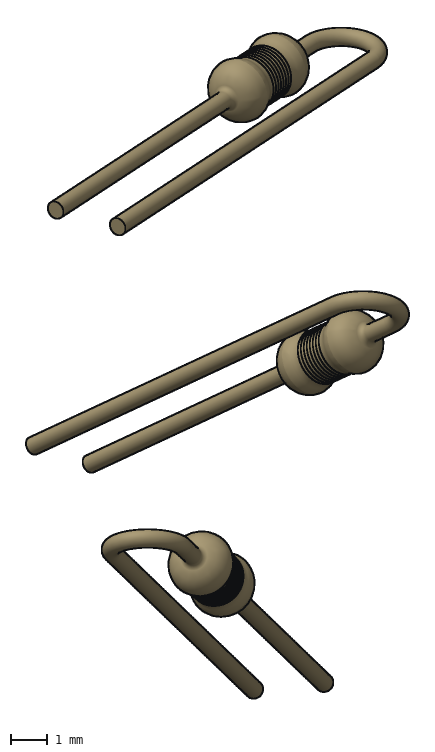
import cadquery as cq
import math

total_length = 14.05
wire_diameter = 0.5
wire_radius = wire_diameter / 2
lead_pitch = 2.0
bend_radius = lead_pitch / 2
bend_start = total_length - bend_radius - wire_radius

body_center = 10.2
barrel_radius = 1.53 / 2
band_radius = 1.55 / 2
bulb_radius = 1.8 / 2

flank_offset = 0.7
crest_offset = 0.95
neck_start = 1.59
neck_end = 1.75

flank_radius = 0.83
neck_radius = 0.4

band_count = 4
band_width = 0.13
band_pitch = 2 * band_width
barrel_half = (2 * band_count - 1) * band_width / 2


def tangent_arc_middle(start, end):
    """Return the middle of an arc that leaves start parallel to the Y axis and reaches end."""
    rise = end[0] - start[0]
    run = end[1] - start[1]
    radius = (run**2 + rise**2) / (2 * abs(rise))
    half_angle = math.asin(abs(run) / radius) / 2
    middle_rise = math.copysign(radius * (1 - math.cos(half_angle)), rise)
    middle_run = math.copysign(radius * math.sin(half_angle), run)
    return (start[0] + middle_rise, start[1] + middle_run)


def make_wire():
    path = (
        cq.Workplane("XY")
        .lineTo(0, bend_start)
        .threePointArc((bend_radius, bend_start + bend_radius), (lead_pitch, bend_start))
        .lineTo(lead_pitch, 0)
    )
    return cq.Workplane("XZ").circle(wire_radius).sweep(path)


def make_half_body():
    """Half of the body, from its middle plane towards +Y, centred on the origin."""
    barrel_end = (barrel_radius, barrel_half)
    flank = (flank_radius, flank_offset)
    crest = (bulb_radius, crest_offset)
    shoulder = (neck_radius, neck_start)
    tip = (wire_radius, neck_end)
    return (
        cq.Workplane("XY")
        .lineTo(barrel_radius, 0)
        .lineTo(*barrel_end)
        .threePointArc(tangent_arc_middle(barrel_end, flank), flank)
        .threePointArc(tangent_arc_middle(crest, flank), crest)
        .threePointArc(tangent_arc_middle(crest, shoulder), shoulder)
        .threePointArc(tangent_arc_middle(tip, shoulder), tip)
        .lineTo(0, neck_end)
        .close()
        .revolve(360, (0, 0), (0, 1))
    )


def make_band(offset):
    """Band around the barrel, centred at an offset from the middle of the body."""
    return (
        cq.Workplane("XZ", origin=(0, offset - band_width / 2, 0))
        .circle(band_radius)
        .extrude(-band_width)
    )


def make_body():
    half = make_half_body()
    body = half.union(half.mirror("XZ"))
    for index in range(band_count):
        offset = (index - (band_count - 1) / 2) * band_pitch
        body = body.union(make_band(offset))
    return body.translate((0, body_center, 0))


result = make_wire().union(make_body())